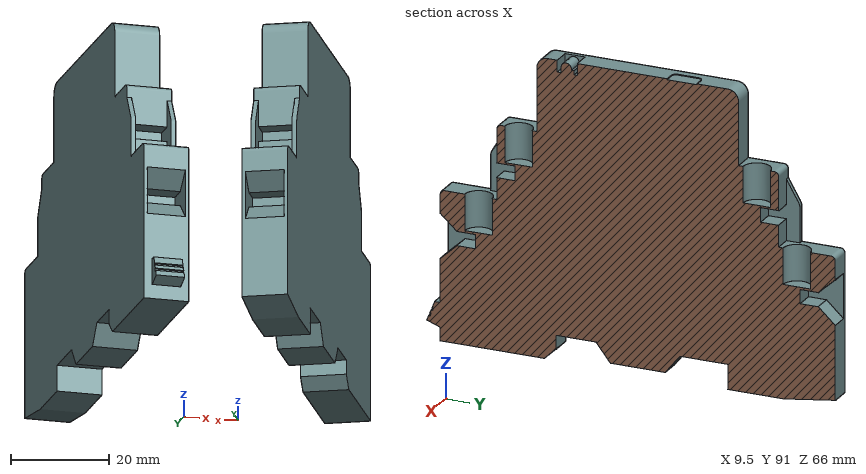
import cadquery as cq
import math

width = 9.5
height = 66.0
length = 88.0
half_length = length / 2

lower_top = 33.2
middle_top = 49.6
upper_half = 22.5
middle_half = 31.4
guard_half = 34.4
guard_angle = 30.0
guard_knee_z = 41.5
upper_round = 2.5
tier_round = 1.0
knee_round = 2.0

rail_top = 5.5
tooth_bottom = 1.4
tooth_half = 6.1
tooth_root_back = 9.4
tooth_root_front = -9.3
notch_back = 20.0
notch_front = -18.1
notch_chamfer_width = 2.7
notch_chamfer_height = 2.5
back_bevel_start = 32.5
back_bevel_height = 1.6

guard_wall = 1.0
recess_width = width - 2 * guard_wall
slot_bottom = 38.0
slot_top = 41.1
slot_depth = 4.0

hole_diameter = 6.0
hole_depth = 8.0
upper_hole_y = 26.5
lower_hole_y = 35.4

entry_width = 8.0
entry_bottom = 18.1
entry_top = 28.0
tunnel_bottom = 21.6
tunnel_top = 24.6
funnel_depth = 3.8
tunnel_depth = 4.0

window_width = 6.0
window_length = 6.6
window_y = 9.9
window_depth = 0.2
window_round = 1.0

well_width = 7.5
well_front = -17.85
well_back = -13.4
well_depth = 2.6
button_radius = 1.2
button_y = -15.9
button_drop = 0.3
button_ledge = 0.6
button_ledge_drop = 1.7

latch_width = 6.0
latch_top = 8.5
latch_top_reach = 1.2
latch_tip_reach = 3.0
latch_tip_z = 4.1
latch_bottom = 3.0
groove_depth = 0.3
groove_width = 0.6
groove_count = 2
groove_pitch = 1.4
first_groove = 1.85

mirrored_sides = (1, -1)
overlap = 1.0


def extrude_profile(points, thickness):
    """Extrude a (Y, Z) outline by the thickness, centred on X = 0."""
    return cq.Workplane("YZ", origin=(-thickness / 2, 0, 0)).polyline(points).close().extrude(thickness)


def box_between(x_size, y_start, y_end, z_start, z_end):
    """Box centred on X = 0, spanning the given Y and Z ranges."""
    y_low = min(y_start, y_end)
    box = cq.Workplane("XY").box(x_size, abs(y_end - y_start), z_end - z_start, centered=(True, False, False))
    return box.translate((0, y_low, z_start))


def round_edges(body, y, z, radius):
    """Fillet the X-direction edges at Y = +y and Y = -y on height z."""
    for side in mirrored_sides:
        at_edge = cq.selectors.NearestToPointSelector((0, side * y, z))
        body = body.edges("|X").edges(at_edge).fillet(radius)
    return body


def make_body():
    guard_slope_top = guard_knee_z + (guard_half - middle_half) / math.tan(math.radians(guard_angle))
    stepped_side = [
        (half_length, lower_top),
        (guard_half, lower_top),
        (guard_half, guard_knee_z),
        (middle_half, guard_slope_top),
        (middle_half, middle_top),
        (upper_half, middle_top),
        (upper_half, height),
    ]
    other_side = [(-y, z) for y, z in reversed(stepped_side)]
    underside = [
        (-half_length, 0),
        (notch_front - notch_chamfer_width, 0),
        (notch_front, notch_chamfer_height),
        (notch_front, rail_top),
        (tooth_root_front, rail_top),
        (-tooth_half, tooth_bottom),
        (tooth_half, tooth_bottom),
        (tooth_root_back, rail_top),
        (notch_back, rail_top),
        (notch_back, 0),
        (back_bevel_start, 0),
        (half_length, back_bevel_height),
    ]
    body = extrude_profile(stepped_side + other_side + underside, width)
    body = round_edges(body, upper_half, height, upper_round)
    body = round_edges(body, middle_half, middle_top, tier_round)
    body = round_edges(body, half_length, lower_top, tier_round)
    return round_edges(body, guard_half, guard_knee_z, knee_round)


def cut_guard_recess(body, side):
    face_y = side * middle_half
    outside_y = side * (guard_half + overlap)
    slot_back_y = side * (middle_half - slot_depth)
    body = body.cut(box_between(recess_width, face_y, outside_y, lower_top, middle_top))
    return body.cut(box_between(recess_width, slot_back_y, outside_y, slot_bottom, slot_top))


def cut_screw_holes(body, side):
    for y, top in ((upper_hole_y, middle_top), (lower_hole_y, lower_top)):
        hole = cq.Workplane("XY").circle(hole_diameter / 2).extrude(hole_depth)
        body = body.cut(hole.translate((0, side * y, top - hole_depth)))
    return body


def cut_wire_entry(body, side):
    throat_y = half_length - funnel_depth
    tunnel_end_y = throat_y - tunnel_depth
    outline = [
        (half_length, entry_bottom),
        (throat_y, tunnel_bottom),
        (tunnel_end_y, tunnel_bottom),
        (tunnel_end_y, tunnel_top),
        (throat_y, tunnel_top),
        (half_length, entry_top),
    ]
    return body.cut(extrude_profile([(side * y, z) for y, z in outline], entry_width))


def cut_indicator_window(body):
    window = box_between(
        window_width,
        window_y - window_length / 2,
        window_y + window_length / 2,
        height - window_depth,
        height + overlap,
    )
    return body.cut(window.edges("|Z").fillet(window_round))


def add_test_button(body):
    floor_z = height - well_depth
    axis_z = height - button_drop - button_radius
    button_back = button_y + button_radius
    body = body.cut(box_between(well_width, well_front, well_back, floor_z, height + overlap))
    stem = box_between(well_width, button_y - button_radius, button_back, floor_z, axis_z)
    cap_start = cq.Workplane("YZ", origin=(-well_width / 2, button_y, axis_z))
    cap = cap_start.circle(button_radius).extrude(well_width)
    ledge_top = height - button_ledge_drop
    ledge = box_between(well_width, button_y, button_back + button_ledge, floor_z, ledge_top)
    return body.union(stem).union(cap).union(ledge)


def make_latch():
    top_y = -half_length - latch_top_reach
    tip_y = -half_length - latch_tip_reach
    latch = extrude_profile(
        [
            (-half_length + overlap, latch_top),
            (top_y, latch_top),
            (tip_y, latch_tip_z),
            (-half_length, latch_bottom),
            (-half_length + overlap, latch_bottom),
        ],
        latch_width,
    )
    slope_angle = math.degrees(math.atan2(top_y - tip_y, latch_top - latch_tip_z))
    for index in range(groove_count):
        distance = first_groove + index * groove_pitch
        groove = cq.Workplane("XY").box(latch_width, 2 * groove_depth, groove_width)
        groove = groove.translate((0, 0, -distance))
        groove = groove.rotate((0, 0, 0), (1, 0, 0), -slope_angle)
        latch = latch.cut(groove.translate((0, top_y, latch_top)))
    return latch


result = make_body()
for mirrored_side in mirrored_sides:
    result = cut_guard_recess(result, mirrored_side)
    result = cut_screw_holes(result, mirrored_side)
    result = cut_wire_entry(result, mirrored_side)
result = cut_indicator_window(result)
result = add_test_button(result)
result = result.union(make_latch())